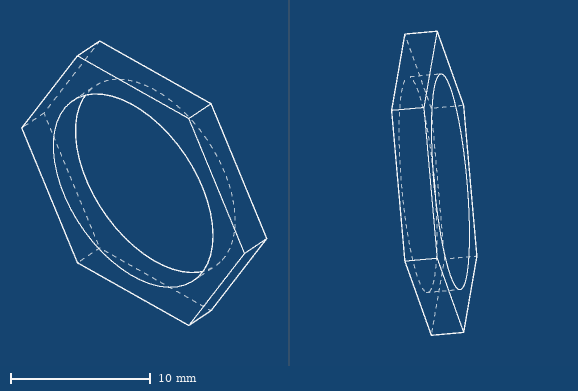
import cadquery as cq

across_corners = 21.65
thickness = 2.35
bore_diameter = 15.5

result = (
    cq.Workplane("XZ")
    .polygon(6, across_corners)
    .circle(bore_diameter / 2)
    .extrude(thickness / 2, both=True)
)